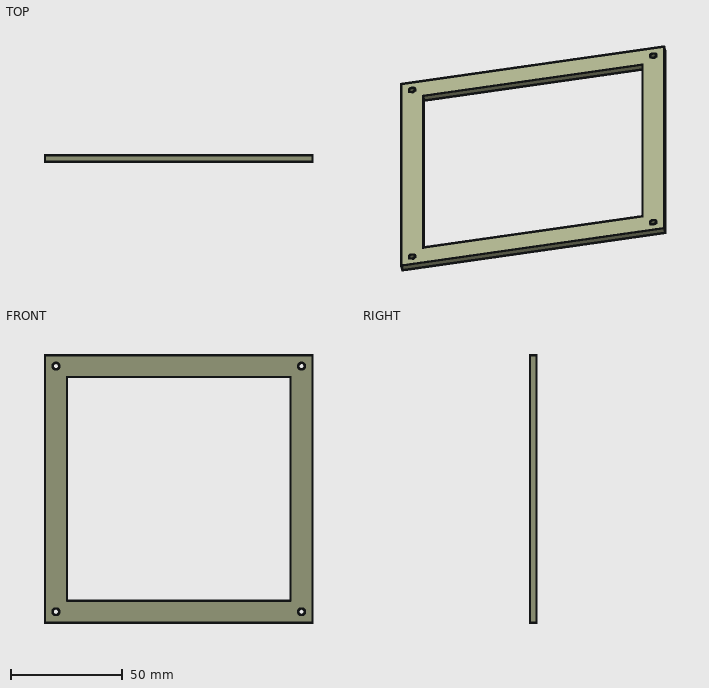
import cadquery as cq

outer_side = 120.0
thickness = 3.0
border_width = 10.0
hole_diameter = 2.9

opening_side = outer_side - 2 * border_width
hole_spacing = outer_side - border_width


def square_plate(side):
    return cq.Workplane("XZ").rect(side, side).extrude(thickness / 2, both=True)


frame = square_plate(outer_side).cut(square_plate(opening_side))

corner_holes = (
    cq.Workplane("XZ")
    .rect(hole_spacing, hole_spacing, forConstruction=True)
    .vertices()
    .circle(hole_diameter / 2)
    .extrude(thickness / 2, both=True)
)

result = frame.cut(corner_holes)